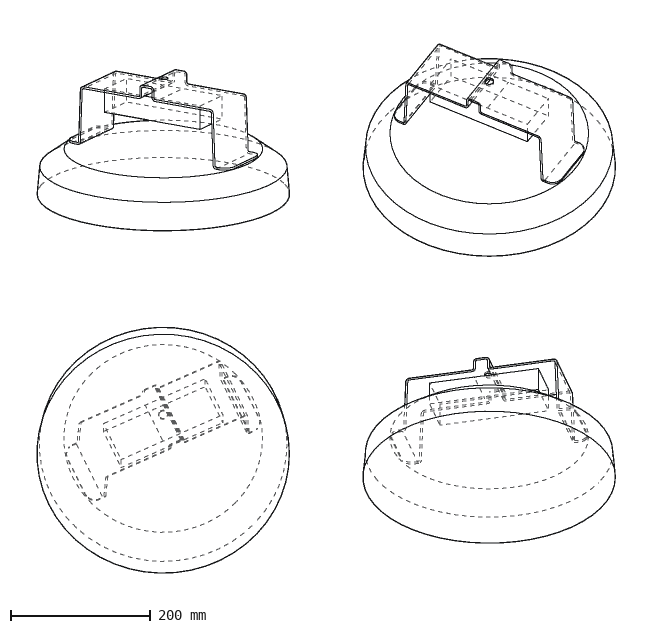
import cadquery as cq
import math

base_diameter = 362.0
shoulder_diameter = 355.0
base_top_diameter = 284.5
shoulder_height = 41.5
base_height = 67.7

total_height = 173.8
sheet = 3.0
bracket_width = 90.5
deck_top = 155.7
flange_span = 274.5
flange_corner_radius = 15.2
leg_span_at_deck = 223.5
leg_span_at_flange = 230.0
ridge_width = 23.5
bend_radius = 2.5
foot_bend_radius = 1.5
ridge_hole_diameter = 12.5

block_length = 160.8
block_width = 60.0
block_height = 35.0


def rounded_outline(corners):
    """Closed XZ outline from (x, z, radius) corners, with tangent arcs where radius > 0."""
    outline = None
    for index, (x, z, radius) in enumerate(corners):
        corner = cq.Vector(x, z)
        before = cq.Vector(*corners[index - 1][:2])
        after = cq.Vector(*corners[(index + 1) % len(corners)][:2])
        back = (before - corner).normalized()
        ahead = (after - corner).normalized()
        half_angle = back.getAngle(ahead) / 2
        setback = radius / math.tan(half_angle)
        start = corner + back * setback
        if outline is None:
            outline = cq.Workplane("XZ").moveTo(start.x, start.y)
        else:
            outline = outline.lineTo(start.x, start.y)
        if radius > 0:
            end = corner + ahead * setback
            bisector = (back + ahead).normalized()
            middle = corner + bisector * (radius / math.sin(half_angle) - radius)
            outline = outline.threePointArc((middle.x, middle.y), (end.x, end.y))
    return outline.close()


def make_base():
    return (
        cq.Workplane("XZ")
        .lineTo(base_diameter / 2, 0)
        .lineTo(shoulder_diameter / 2, shoulder_height)
        .lineTo(base_top_diameter / 2, base_height)
        .lineTo(0, base_height)
        .close()
        .revolve(360, (0, 0, 0), (0, 1, 0))
    )


def make_bracket():
    flange_end = flange_span / 2
    leg_at_deck = leg_span_at_deck / 2
    leg_at_flange = leg_span_at_flange / 2
    ridge_side = ridge_width / 2
    outer_bend = bend_radius + sheet

    upper_face = [
        (flange_end, base_height + sheet, 0),
        (leg_at_flange, base_height + sheet, foot_bend_radius),
        (leg_at_deck, deck_top, outer_bend),
        (ridge_side, deck_top, bend_radius),
        (ridge_side, total_height, outer_bend),
    ]
    lower_face = [
        (flange_end, base_height, 0),
        (leg_at_flange - sheet, base_height, foot_bend_radius + sheet),
        (leg_at_deck - sheet, deck_top - sheet, bend_radius),
        (ridge_side - sheet, deck_top - sheet, outer_bend),
        (ridge_side - sheet, total_height - sheet, bend_radius),
    ]
    right_half = lower_face[::-1] + upper_face
    left_half = [(-x, z, radius) for x, z, radius in right_half[::-1]]

    bracket = rounded_outline(right_half + left_half).extrude(bracket_width / 2, both=True)
    rounded_plan = (
        cq.Workplane("XY")
        .rect(flange_span, bracket_width)
        .extrude(total_height)
        .edges("|Z")
        .fillet(flange_corner_radius)
    )
    ridge_hole = (
        cq.Workplane("XY", origin=(0, 0, deck_top))
        .circle(ridge_hole_diameter / 2)
        .extrude(total_height - deck_top)
    )
    return bracket.intersect(rounded_plan).cut(ridge_hole)


def make_block():
    block_top = deck_top - sheet
    return (
        cq.Workplane("XY", origin=(0, 0, block_top - block_height))
        .rect(block_length, block_width)
        .extrude(block_height)
    )


result = make_base().union(make_bracket()).union(make_block())